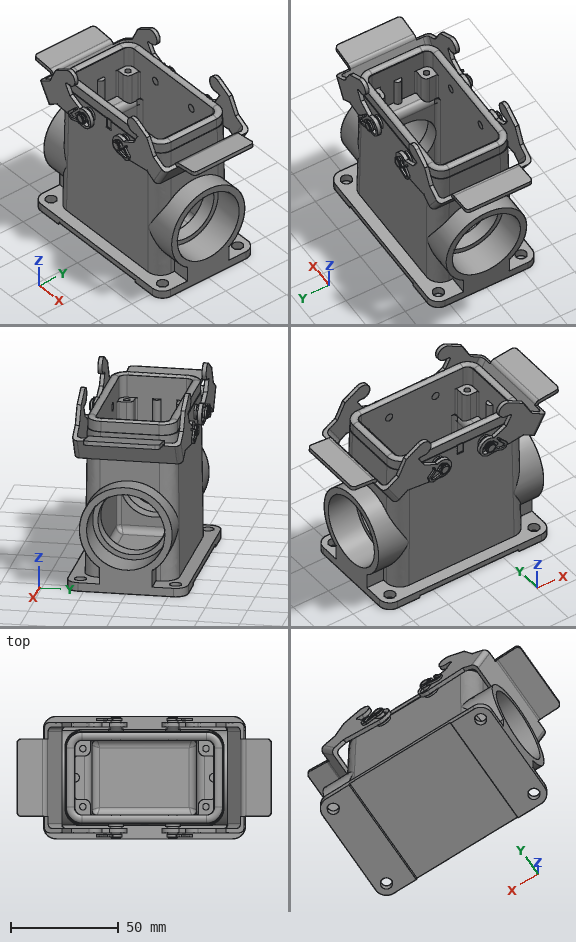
import cadquery as cq
import math


flange_length = 94.0
flange_width = 57.0
flange_thickness = 4.2
flange_corner_radius = 6.0
mounting_hole_diameter = 5.6
relief_length = 56.6
relief_height = 1.2
relief_end_slope = 0.4

body_length = 75.0
body_width = 44.6
body_corner_radius = 7.6
body_top_inset = 0.9
body_top = 75.2

rim_step = 0.3
rim_shoulder = 80.3
rim_top = 81.15
rim_corner_radius = 7.4

cavity_length = 64.4
cavity_width = 34.7
cavity_corner_radius = 3.3
cavity_floor = 6.0
lower_cavity_length = 48.6
lower_corner_radius = 2.0
cavity_fillet = 3.5
ledge_height = 54.2

post_top = 69.5
post_length = 7.1
post_width = 7.3
post_corner_radius = 2.9
post_root_radius = 0.8
post_hole_diameter = 3.0
post_hole_depth = 12.0
post_hole_x = 28.6
post_hole_y = 13.5
key_diameter = 4.0

port_height = 30.2
port_outer_diameter = 43.9
port_bore_diameter = 37.0
port_bore_depth = 15.5
port_hole_diameter = 32.0
pedestal_width = 25.0

notch_width = 3.4
notch_bottom = 70.0
notch_depth = 0.6

pin_x = 13.2
pin_z = 70.85
pin_shank_diameter = 4.0
pin_collar_diameter = 7.0
pin_spacer_diameter = 5.6
pin_neck_diameter = 4.8
collar_base_y = 21.63
collar_top_y = 22.6
pin_tip_y = 28.0
pin_tip_chamfer = 0.4

clip_diameter = 5.6
clip_bottom_y = 26.5
clip_thickness = 1.0
clip_wire_width = 1.2
clip_foot_diameter = 1.0
clip_loop = [(0.7, -2.1), (6.6, -3.8), (8.0, -3.2), (8.5, -1.5), (5.2, 1.9)]
clip_prong = [(1.4, 2.4), (3.5, 0.3)]

lever_width = 51.2
sheet_thickness = 2.0
bend_outer_radius = 2.5
bend_inner_radius = 2.2
web_angle = 60.2
web_height = 12.0
web_bottom = (27.2, -7.75)
lever_waist = (20.0, -3.4)
arm_notch = (24.7, 7.4)
arm_shoulder = (20.0, 15.9)
hook_centre = (9.8, 16.91)
hook_radius = 4.0
throat_point = (12.9, 12.15)
throat_radius = 1.0
throat_foot = (9.9, 6.9)
heel_centre = (-0.05, -0.9)
heel_radius = 5.05
heel_join_angle = 55.0
slot_travel = 2.4
slot_angle = -120.0
tab_width = 36.0
handle_angle = 7.1
handle_bend_inner_radius = 1.0
bend_height = 13.0
handle_length = 12.29
handle_corner_radius = 2.0
left_lever_opening = 2.5


def rounded_block(length, width, radius, bottom, top):
    """A block with rounded vertical corners, centred on the Z axis."""
    block = cq.Workplane("XY", origin=(0, 0, bottom)).rect(length, width).extrude(top - bottom)
    return block.edges("|Z").fillet(radius)


def rod_along_x(diameter, start, end):
    """A cylinder at the height of the cable ports, from X = start to X = end."""
    plane = cq.Workplane("YZ", origin=(start, 0, port_height))
    return plane.circle(diameter / 2).extrude(end - start)


def make_flange():
    flange = rounded_block(flange_length, flange_width, flange_corner_radius, 0, flange_thickness)
    hole_spacing_x = flange_length - 2 * flange_corner_radius
    hole_spacing_y = flange_width - 2 * flange_corner_radius
    flange = (
        flange.faces(">Z").workplane(origin=(0, 0, 0))
        .rect(hole_spacing_x, hole_spacing_y, forConstruction=True).vertices()
        .hole(mounting_hole_diameter)
    )
    half_length = relief_length / 2
    relief = (
        cq.Workplane("XZ")
        .polyline([
            (-half_length, 0),
            (half_length, 0),
            (half_length - relief_end_slope, relief_height),
            (-half_length + relief_end_slope, relief_height),
        ])
        .close().extrude(flange_width, both=True)
    )
    return flange.cut(relief)


def make_body():
    """Tapered block between the flange and the sealing rim."""
    height = body_top - flange_thickness
    base = cq.Sketch().rect(body_length, body_width).vertices().fillet(body_corner_radius)
    top = (
        cq.Sketch().rect(body_length - 2 * body_top_inset, body_width - 2 * body_top_inset)
        .vertices().fillet(body_corner_radius)
    )
    plane = cq.Workplane("XY", origin=(0, 0, flange_thickness))
    return plane.placeSketch(base, top.moved(cq.Location(cq.Vector(0, 0, height)))).loft(ruled=True)


def make_rim():
    """Inset ring above the body, its top domed across its full width."""
    inset = body_top_inset + rim_step
    length = body_length - 2 * inset
    width = body_width - 2 * inset
    ring = rounded_block(length, width, rim_corner_radius, body_top, rim_shoulder)
    half_wall = (width - cavity_width) / 4
    path_length = length - 2 * half_wall
    path_width = width - 2 * half_wall
    path_radius = rim_corner_radius - half_wall
    path_block = rounded_block(path_length, path_width, path_radius, rim_shoulder, rim_top)
    path = path_block.faces("<Z").wires()
    dome = (
        cq.Workplane("YZ", origin=(0, -path_width / 2, rim_shoulder))
        .moveTo(-half_wall, 0)
        .threePointArc((0, rim_top - rim_shoulder), (half_wall, 0))
        .close().sweep(path)
    )
    return ring.union(dome)


def make_post():
    """Screw post rising from the ledge in the +X +Y corner of the cavity, blended into both walls."""
    end_wall = cavity_length / 2
    side_wall = cavity_width / 2
    inner_x = end_wall - post_length
    inner_y = side_wall - post_width
    bottom = ledge_height - cavity_fillet
    return (
        cq.Workplane("XY", origin=(0, 0, bottom))
        .moveTo(end_wall, side_wall)
        .lineTo(inner_x - post_root_radius, side_wall)
        .radiusArc((inner_x, side_wall - post_root_radius), post_root_radius)
        .lineTo(inner_x, inner_y + post_corner_radius)
        .radiusArc((inner_x + post_corner_radius, inner_y), -post_corner_radius)
        .lineTo(end_wall - post_root_radius, inner_y)
        .radiusArc((end_wall, inner_y - post_root_radius), post_root_radius)
        .close().extrude(post_top - bottom)
    )


def make_upper_cavity():
    """Space above the ledge, around the four screw posts."""
    edge = lower_cavity_length / 2
    space = rounded_block(cavity_length, cavity_width, cavity_corner_radius, ledge_height, rim_top)
    rounding = (
        cq.Workplane("XZ")
        .moveTo(edge, ledge_height)
        .lineTo(edge, ledge_height - cavity_fillet)
        .radiusArc((edge + cavity_fillet, ledge_height), cavity_fillet)
        .close().extrude(cavity_width / 2, both=True)
    )
    space = space.union(rounding).union(rounding.mirror("YZ"))
    right_posts = make_post().union(make_post().mirror("XZ"))
    return space.cut(right_posts).cut(right_posts.mirror("YZ"))


def make_lower_cavity():
    return (
        cq.Workplane("XY", origin=(0, 0, cavity_floor))
        .rect(lower_cavity_length, cavity_width)
        .extrude(ledge_height - cavity_floor)
        .edges("|Z").fillet(lower_corner_radius)
        .faces("<Z").edges().fillet(cavity_fillet)
    )


def make_housing():
    half_length = flange_length / 2
    housing = make_flange().union(make_body()).union(make_rim())
    pedestal = cq.Workplane("XY").box(
        flange_length, pedestal_width, port_height - flange_thickness, centered=(True, True, False)
    ).translate((0, 0, flange_thickness))
    housing = housing.union(pedestal)
    housing = housing.union(rod_along_x(port_outer_diameter, -half_length, half_length))
    housing = housing.cut(make_upper_cavity()).cut(make_lower_cavity())

    for side_x in (-1, 1):
        for side_y in (-1, 1):
            hole = (
                cq.Workplane("XY", origin=(side_x * post_hole_x, side_y * post_hole_y, post_top))
                .circle(post_hole_diameter / 2).extrude(-post_hole_depth)
            )
            housing = housing.cut(hole)
        key = (
            cq.Workplane("XY", origin=(side_x * cavity_length / 2, 0, ledge_height))
            .circle(key_diameter / 2).extrude(post_top - ledge_height)
        )
        housing = housing.union(key)

    housing = housing.cut(rod_along_x(port_hole_diameter, -half_length, half_length))
    for side in (-1, 1):
        bore_end = side * (half_length - port_bore_depth)
        housing = housing.cut(rod_along_x(port_bore_diameter, bore_end, side * half_length))

    notch_front = -body_width / 2
    notch_back = body_top_inset + notch_depth - body_width / 2
    notch = cq.Workplane("XY").box(
        notch_width, notch_back - notch_front, body_top - notch_bottom, centered=(True, False, False)
    ).translate((0, notch_front, notch_bottom))
    housing = housing.cut(notch)

    for x in (-pin_x, pin_x):
        pin_hole = (
            cq.Workplane("XZ", origin=(x, 0, pin_z))
            .circle(pin_shank_diameter / 2).extrude(body_width, both=True)
        )
        housing = housing.cut(pin_hole)
    return housing


def clip_wire(path):
    """Flat bent wire along a path of points, lying in the clip's plane."""
    middle_height = clip_bottom_y + clip_thickness / 2
    start, following = path[0], path[1]
    section_plane = cq.Plane(
        origin=(*start, middle_height), xDir=(0, 0, 1),
        normal=(following[0] - start[0], following[1] - start[1], 0),
    )
    track = cq.Workplane("XY", origin=(0, 0, middle_height)).polyline(path)
    section = cq.Workplane(section_plane).rect(clip_thickness, clip_wire_width)
    return section.sweep(track, transition="round")


def make_pin(side_x, side_y):
    """Stepped pin with its spring clip; it is built along Z and then laid along Y."""
    lever_inside = lever_width / 2 - sheet_thickness
    tip_radius = pin_neck_diameter / 2 - pin_tip_chamfer
    profile = [
        (0, cavity_width / 2),
        (pin_shank_diameter / 2, cavity_width / 2),
        (pin_shank_diameter / 2, collar_base_y),
        (pin_collar_diameter / 2, collar_base_y),
        (pin_collar_diameter / 2, collar_top_y),
        (pin_spacer_diameter / 2, collar_top_y),
        (pin_spacer_diameter / 2, lever_inside),
        (pin_neck_diameter / 2, lever_inside),
        (pin_neck_diameter / 2, pin_tip_y - pin_tip_chamfer),
        (tip_radius, pin_tip_y),
        (0, pin_tip_y),
    ]
    pin = cq.Workplane("XZ").polyline(profile).close().revolve(360, (0, 0), (0, 1))
    ring = cq.Workplane("XY", origin=(0, 0, clip_bottom_y)).circle(clip_diameter / 2)
    pin = pin.union(ring.extrude(clip_thickness))
    for path in (clip_loop, clip_prong):
        pin = pin.union(clip_wire(path))
    foot_height = clip_bottom_y - lever_width / 2
    foot = (
        cq.Workplane("XY", origin=(*clip_loop[-1], lever_width / 2))
        .circle(clip_foot_diameter / 2).extrude(foot_height)
    )
    pin = pin.union(foot).rotate((0, 0, 0), (1, 0, 0), 90)
    if side_x < 0:
        pin = pin.mirror("YZ")
    if side_y > 0:
        pin = pin.mirror("XZ")
    return pin.translate((side_x * pin_x, 0, pin_z))


def moved(point, angle, distance):
    """The point reached by going a distance along an angle in degrees."""
    direction = math.radians(angle)
    return (point[0] + distance * math.cos(direction), point[1] + distance * math.sin(direction))


def tangent_point(centre, radius, point, side):
    """Where a line from a point touches a circle; side +1 or -1 picks one of the two lines."""
    distance = math.dist(centre, point)
    bearing = math.atan2(point[1] - centre[1], point[0] - centre[0])
    angle = math.degrees(bearing + side * math.acos(radius / distance))
    return moved(centre, angle, radius)


def make_arm_outline():
    """Side outline of the lever, as wide as the lever."""
    web_top = moved(web_bottom, web_angle, web_height)
    heel_touch = tangent_point(heel_centre, heel_radius, lever_waist, -1)
    hook_touch = tangent_point(hook_centre, hook_radius, arm_shoulder, 1)
    hook_bottom = (hook_centre[0], hook_centre[1] - hook_radius)
    throat_top = (throat_point[0] - throat_radius, hook_bottom[1])
    heel_join = moved(heel_centre, heel_join_angle, heel_radius)
    heel_back = (heel_centre[0] - heel_radius, heel_centre[1])
    hook_front = (hook_centre[0] - hook_radius, hook_centre[1])
    return (
        cq.Workplane("XZ")
        .moveTo(*heel_touch)
        .lineTo(*lever_waist)
        .lineTo(*web_bottom)
        .lineTo(*web_top)
        .lineTo(*arm_notch)
        .lineTo(*arm_shoulder)
        .lineTo(*hook_touch)
        .threePointArc(hook_front, hook_bottom)
        .lineTo(*throat_top)
        .radiusArc(throat_point, throat_radius)
        .lineTo(*throat_foot)
        .lineTo(*heel_join)
        .threePointArc(heel_back, heel_touch)
        .close().extrude(lever_width / 2, both=True)
    )


def make_handle():
    """Tab rising from the web and bent outwards into the finger plate."""
    turn = web_angle - handle_angle
    setback = sheet_thickness * math.tan(math.radians(turn / 2))
    bend_under = moved(web_bottom, web_angle, bend_height)
    tip_under = moved(bend_under, handle_angle, handle_length)
    tip_over = moved(tip_under, handle_angle + 90, sheet_thickness)
    bend_over = moved(tip_over, handle_angle + 180, handle_length + setback)
    root_outside = moved(web_bottom, web_angle, web_height / 2)
    root_inside = moved(root_outside, web_angle + 90, sheet_thickness)
    handle = (
        cq.Workplane("XZ")
        .polyline([root_outside, bend_under, tip_under, tip_over, bend_over, root_inside])
        .close().extrude(tab_width / 2, both=True)
    )
    over_edge = cq.selectors.NearestToPointSelector((bend_over[0], 0, bend_over[1]))
    under_edge = cq.selectors.NearestToPointSelector((bend_under[0], 0, bend_under[1]))
    handle = handle.edges("|Y").edges(over_edge).fillet(handle_bend_inner_radius + sheet_thickness)
    handle = handle.edges("|Y").edges(under_edge).fillet(handle_bend_inner_radius)
    return handle.faces(">X").edges("not |Y").fillet(handle_corner_radius)


def make_lever():
    """Lever of the +X side, with the pin axis as its origin line."""
    lever = make_arm_outline()
    web_middle = moved(web_bottom, web_angle, web_height / 2)
    for y in (-lever_width / 2, lever_width / 2):
        bend_edge = cq.selectors.NearestToPointSelector((web_middle[0], y, web_middle[1]))
        lever = lever.edges(bend_edge).fillet(bend_outer_radius)

    inside_plane = cq.Plane(
        origin=(web_bottom[0], 0, web_bottom[1]), xDir=(0, 1, 0),
        normal=(math.cos(math.radians(web_angle + 90)), 0, math.sin(math.radians(web_angle + 90))),
    )
    gap = (
        cq.Workplane(inside_plane).workplane(offset=sheet_thickness)
        .rect(lever_width - 2 * sheet_thickness, 2 * lever_width).extrude(lever_width)
    )
    web_face = cq.selectors.NearestToPointSelector(
        inside_plane.toWorldCoords((0, 0, sheet_thickness)).toTuple()
    )
    gap = gap.faces(web_face).edges("not |Y").fillet(bend_inner_radius)
    lever = lever.cut(gap).union(make_handle())

    slot_end = moved((0, 0), slot_angle, slot_travel)
    slot = (
        cq.Workplane("XZ").center(slot_end[0] / 2, slot_end[1] / 2)
        .slot2D(slot_travel + pin_neck_diameter, pin_neck_diameter, slot_angle)
        .extrude(lever_width, both=True)
    )
    return lever.cut(slot)


housing = make_housing()
pins = [make_pin(side_x, side_y) for side_x in (-1, 1) for side_y in (-1, 1)]
lever = make_lever()
right_lever = lever.translate((pin_x, 0, pin_z))
left_lever = (
    lever.rotate((0, 0, 0), (0, 1, 0), left_lever_opening)
    .mirror("YZ").translate((-pin_x, 0, pin_z))
)

result = cq.Compound.makeCompound([
    housing.val(),
    right_lever.val(),
    left_lever.val(),
    *[pin.val() for pin in pins],
])